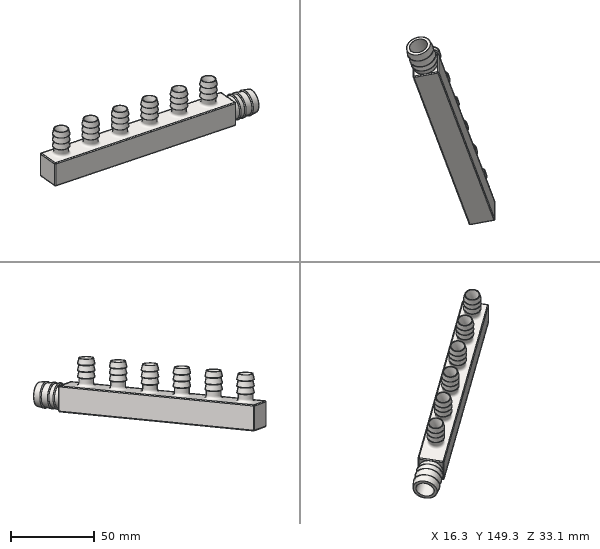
import cadquery as cq

total_length = 149.3
block_side = 16.0
inlet_length = 17.0
edge_chamfer = 0.6
block_length = total_length - inlet_length
block_top = block_side / 2

inlet_neck_diameter = 14.8
inlet_barb_diameter = 16.3
inlet_rims = [4.6, 9.9, 13.6]

outlet_count = 6
outlet_pitch = 21.5
first_outlet_offset = 10.0
outlet_neck_diameter = 9.0
outlet_barb_diameter = 10.6
overall_height = 33.1
outlet_length = overall_height - inlet_barb_diameter / 2 - block_top
outlet_rims = [3.5, 7.5, 11.5]
root_fillet = 2.0

barb_back_length = 0.6

gallery_diameter = 11.0
gallery_end_wall = 3.0
bore_diameter = 5.0
mouth_diameter = 8.2
mouth_depth = 7.5


def barbed_stem(length, neck_diameter, barb_diameter, rims, fillet=0):
    """Solid hose stem along +Z from the origin, with a flared root if a fillet is given."""
    neck_radius = neck_diameter / 2
    profile = cq.Workplane("XZ").lineTo(neck_radius + fillet, 0)
    if fillet:
        arc_centre = neck_radius + fillet
        arc_inset = fillet * 0.5 ** 0.5
        profile = profile.threePointArc(
            (arc_centre - arc_inset, fillet - arc_inset),
            (neck_radius, fillet),
        )
    for rim in reversed(rims):
        rim_height = length - rim
        profile = profile.lineTo(neck_radius, rim_height - barb_back_length)
        profile = profile.lineTo(barb_diameter / 2, rim_height)
    profile = profile.lineTo(neck_radius, length).lineTo(0, length).close()
    return profile.revolve(360, (0, 0, 0), (0, 1, 0))


def outlet_bore():
    """Outlet bore from the gallery axis up to the stem tip, opening into a rounded bell mouth."""
    stem_tip = block_top + outlet_length
    mouth_base = stem_tip - mouth_depth
    bore_radius = bore_diameter / 2
    mouth_radius = mouth_diameter / 2
    return (
        cq.Workplane("XZ")
        .lineTo(bore_radius, 0)
        .lineTo(bore_radius, mouth_base)
        .tangentArcPoint((mouth_radius, stem_tip), relative=False)
        .lineTo(0, stem_tip)
        .close()
        .revolve(360, (0, 0, 0), (0, 1, 0))
    )


block = (
    cq.Workplane("XY")
    .box(block_side, block_length, block_side, centered=(True, False, True))
    .edges()
    .chamfer(edge_chamfer)
)

inlet = (
    barbed_stem(inlet_length, inlet_neck_diameter, inlet_barb_diameter, inlet_rims)
    .rotate((0, 0, 0), (1, 0, 0), -90)
    .translate((0, block_length, 0))
)
body = block.union(inlet)

outlet = barbed_stem(
    outlet_length, outlet_neck_diameter, outlet_barb_diameter, outlet_rims, root_fillet
)
outlet_positions = [first_outlet_offset + i * outlet_pitch for i in range(outlet_count)]
for y in outlet_positions:
    body = body.union(outlet.translate((0, y, block_top)))

gallery = (
    cq.Workplane("XZ", origin=(0, gallery_end_wall, 0))
    .circle(gallery_diameter / 2)
    .extrude(-(total_length - gallery_end_wall))
)
body = body.cut(gallery)

for y in outlet_positions:
    body = body.cut(outlet_bore().translate((0, y, 0)))

result = body